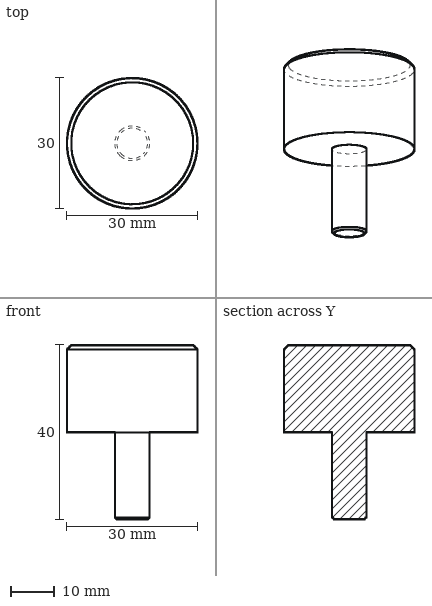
import cadquery as cq

HEAD_DIAMETER = 30.0
HEAD_HEIGHT = 20.0
HEAD_CHAMFER = 1.0
STEM_DIAMETER = 8.0
STEM_LENGTH = 20.0
STEM_CHAMFER = 0.5


def make_head():
    """Cylindrical head standing on Z = 0, with a chamfered top rim."""
    head = cq.Workplane("XY").circle(HEAD_DIAMETER / 2).extrude(HEAD_HEIGHT)
    return head.faces(">Z").edges().chamfer(HEAD_CHAMFER)


def make_stem():
    """Plain stem hanging below the head, with a chamfered lower end."""
    stem = cq.Workplane("XY").circle(STEM_DIAMETER / 2).extrude(-STEM_LENGTH)
    return stem.faces("<Z").edges().chamfer(STEM_CHAMFER)


result = make_head().union(make_stem())